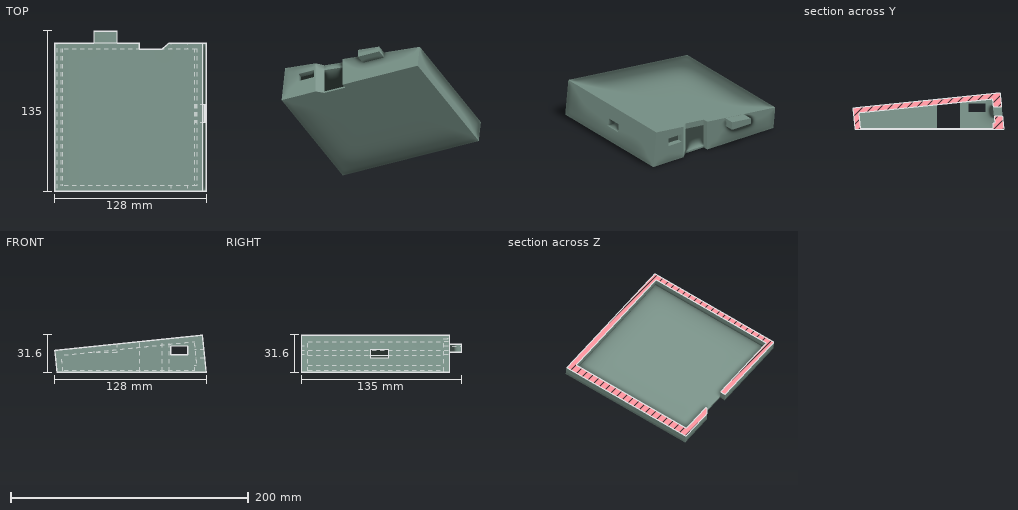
import cadquery as cq
import math

length = 128.0
height = 31.6
full_depth = 135.0
tab_projection = 10.0
depth = full_depth - tab_projection
tilt = 5.9
wall = 5.0
roof_thickness = 5.0
floor_thickness = 1.5
high_end_wall = 7.4

ledge_width = 1.8
ledge_top = 6.0

slope = math.tan(math.radians(tilt))
roof_run = length - height * slope
low_height = height - roof_run * slope

window_left = 98.1
window_width = 14.0
window_bottom = 15.1
window_height = 7.0
end_window_start = 58.2
end_window_bottom = 12.2
end_window_width = 15.1

tab_left = 33.1
tab_width = 19.6
tab_bottom = 17.0
tab_step = 0.1

notch_left = 71.4
notch_depth = wall
notch_floor_width = 19.2
notch_slant = 5.8


def roof_height(x):
    """Height of the roof's outer face at x."""
    return low_height + x * slope


def low_end_x(z):
    """Outer face of the low end wall at height z."""
    return (low_height - z) * slope


def high_end_x(z):
    """Outer face of the high end wall at height z."""
    return length - z * slope


def extrude_profile(points, y_start, y_end):
    """Extrude an XZ outline from y_start to y_end."""
    plane = cq.Workplane("XZ", origin=(0, y_start, 0))
    return plane.polyline(points).close().extrude(y_start - y_end)


def corner_box(x_size, y_size, z_size, corner):
    """Box placed by its lowest corner."""
    return cq.Workplane("XY").box(x_size, y_size, z_size, centered=False).translate(corner)


def wedge():
    outline = [
        (low_end_x(0), 0),
        (length, 0),
        (roof_run, height),
        (0, low_height),
    ]
    return extrude_profile(outline, 0, depth)


def cavity():
    tilt_factor = math.cos(math.radians(tilt))
    low_wall_run = wall / tilt_factor
    high_wall_run = high_end_wall / tilt_factor
    roof_drop = roof_thickness / tilt_factor
    inner_length = roof_run / tilt_factor - wall - high_end_wall

    floor_left = low_end_x(floor_thickness) + low_wall_run
    ledge_right = high_end_x(ledge_top) - high_wall_run
    ledge_left = ledge_right - ledge_width
    roof_left = wall * tilt_factor + roof_thickness * math.sin(math.radians(tilt))
    roof_right = roof_left + inner_length * tilt_factor
    outline = [
        (floor_left, floor_thickness),
        (ledge_left, floor_thickness),
        (ledge_left, ledge_top),
        (ledge_right, ledge_top),
        (roof_right, roof_height(roof_right) - roof_drop),
        (roof_left, roof_height(roof_left) - roof_drop),
    ]
    return extrude_profile(outline, wall, depth - wall)


def tab():
    tab_right = tab_left + tab_width
    outline = [
        (tab_left, tab_bottom),
        (tab_right, tab_bottom),
        (tab_right, roof_height(tab_right) - tab_step),
        (tab_left, roof_height(tab_left) - tab_step),
    ]
    return extrude_profile(outline, depth - wall / 2, full_depth)


def notch():
    floor_y = depth - notch_depth
    floor_right = notch_left + notch_floor_width
    outline = [
        (notch_left, floor_y),
        (floor_right, floor_y),
        (floor_right + notch_slant, depth),
        (notch_left, depth),
    ]
    return cq.Workplane("XY").polyline(outline).close().extrude(height)


def through_window():
    return corner_box(window_width, depth, window_height, (window_left, 0, window_bottom))


def end_window():
    start_x = roof_run - 2 * high_end_wall
    return corner_box(
        length - start_x, end_window_width, window_height,
        (start_x, end_window_start, end_window_bottom),
    )


result = wedge().cut(cavity()).union(tab())
result = result.cut(notch()).cut(through_window()).cut(end_window())